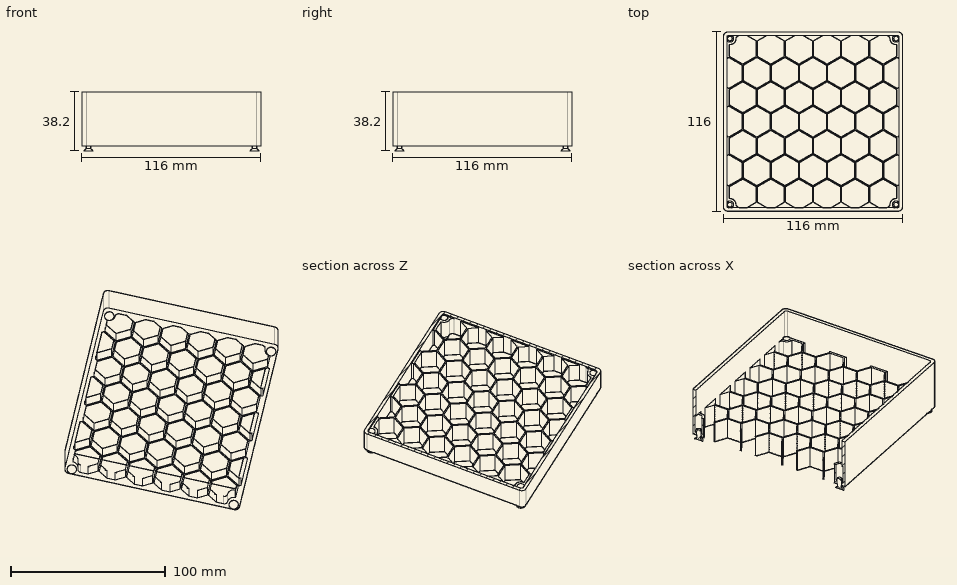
import cadquery as cq
import math

side = 116.0
wall = 2.4
tray_height = 35.0
outer_corner_radius = 3.0
inner_corner_radius = 1.4
inner_side = side - 2 * wall

grid_height = 15.0
cell_flats = 17.3
cell_wall = 0.87
row_count = 7
cells_in_end_rows = 6
cell_pitch = cell_flats + cell_wall
row_pitch = cell_pitch * math.sqrt(3) / 2
cell_corner_diameter = cell_flats * 2 / math.sqrt(3)

foot_inset = 4.3
boss_radius = 8.0 / 2
boss_blend_radius = 2.2
boss_floor = 3.0
foot_offset = side / 2 - foot_inset

foot_drop = 3.2
neck_radius = 3.0 / 2
barb_radius = 4.8 / 2
barb_height = 2.0
base_radius = 6.0 / 2
base_thickness = 0.2
base_cone_height = base_radius - neck_radius


def square_block(width, height, corner_radius):
    """Block centred on the Z axis, standing on Z = 0, with rounded upright edges."""
    return cq.Workplane("XY").rect(width, width).extrude(height).edges("|Z").fillet(corner_radius)


def at_corners(shape):
    """One copy of a shape per corner, from the shape at the +X +Y corner."""
    return [shape.rotate((0, 0, 0), (0, 0, 1), quarter * 90) for quarter in range(4)]


def make_cells():
    """Honeycomb cells; the end cells of the longer rows run on past the inside of the frame."""
    cell = (
        cq.Workplane("XY")
        .transformed(rotate=(0, 0, 30))
        .polygon(6, cell_corner_diameter)
        .extrude(grid_height)
    )
    cells = []
    for row in range(row_count):
        y = (row - (row_count - 1) / 2) * row_pitch
        count = cells_in_end_rows + row % 2
        for column in range(count):
            x = (column - (count - 1) / 2) * cell_pitch
            cells.append(cell.translate((x, y, 0)))
    return cells


def make_grid():
    """Plate that fills the inside of the frame, pierced by the cells."""
    grid = square_block(inner_side, grid_height, inner_corner_radius)
    for cell in make_cells():
        grid = grid.cut(cell)
    return grid


def make_boss():
    """Boss at the +X +Y corner: round towards the middle, with a concave blend into each wall."""
    gap = foot_inset - wall
    blend_y = gap - boss_blend_radius
    centre_distance = boss_radius + boss_blend_radius
    blend_x = -math.sqrt(centre_distance**2 - blend_y**2)

    tangent_x = blend_x * boss_radius / centre_distance
    tangent_y = blend_y * boss_radius / centre_distance
    middle_angle = (math.pi / 2 + math.atan2(-blend_y, -blend_x)) / 2
    middle_x = blend_x + boss_blend_radius * math.cos(middle_angle)
    middle_y = blend_y + boss_blend_radius * math.sin(middle_angle)
    nose = -boss_radius * math.sqrt(0.5)

    return (
        cq.Workplane("XY", origin=(foot_offset, foot_offset, 0))
        .moveTo(gap, gap)
        .lineTo(blend_x, gap)
        .threePointArc((middle_x, middle_y), (tangent_x, tangent_y))
        .threePointArc((nose, nose), (tangent_y, tangent_x))
        .threePointArc((middle_y, middle_x), (gap, blend_x))
        .close()
        .extrude(grid_height)
    )


def make_foot_hole():
    """Hole at the +X +Y corner: narrow through the boss floor, wide above it up to the boss top."""
    neck_hole = cq.Workplane("XY").circle(neck_radius).extrude(boss_floor)
    barb_hole = (
        cq.Workplane("XY", origin=(0, 0, boss_floor))
        .circle(barb_radius)
        .extrude(grid_height - boss_floor)
    )
    return neck_hole.union(barb_hole).translate((foot_offset, foot_offset, 0))


def make_tray():
    outside = square_block(side, tray_height, outer_corner_radius)
    inside = square_block(inner_side, tray_height, inner_corner_radius)
    tray = outside.cut(inside).union(make_grid())
    for boss in at_corners(make_boss()):
        tray = tray.union(boss)
    for hole in at_corners(make_foot_hole()):
        tray = tray.cut(hole)
    return tray


def make_foot():
    """Foot at the +X +Y corner: base disc, cone, neck through the boss floor and tapered barb."""
    disc_top = base_thickness - foot_drop
    barb_top = boss_floor + barb_height
    return (
        cq.Workplane("XZ")
        .moveTo(0, -foot_drop)
        .lineTo(base_radius, -foot_drop)
        .lineTo(base_radius, disc_top)
        .lineTo(neck_radius, disc_top + base_cone_height)
        .lineTo(neck_radius, boss_floor)
        .lineTo(barb_radius, boss_floor)
        .lineTo(neck_radius, barb_top)
        .lineTo(0, barb_top)
        .close()
        .revolve(360, (0, 0, 0), (0, 1, 0))
        .translate((foot_offset, foot_offset, 0))
    )


tray = make_tray()
feet = at_corners(make_foot())
result = cq.Compound.makeCompound([tray.val(), *[foot.val() for foot in feet]])